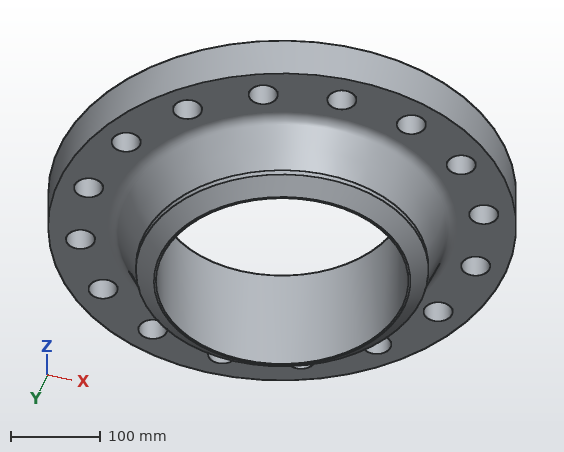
import cadquery as cq
import math

flange_diameter = 520.5
total_height = 130.0
face_diameter = 381.0
face_height = 2.0
flange_bottom = 79.5
bore_diameter = 280.5

bolt_count = 16
bolt_circle_diameter = 450.5
bolt_hole_diameter = 32.5

hub_top_diameter = 372.5
root_fillet = 12.0
weld_end_diameter = 325.5
weld_end_top = 22.0
bevel_height = 15.5
weld_tip_diameter = 285.5

flange_radius = flange_diameter / 2
face_radius = face_diameter / 2
bore_radius = bore_diameter / 2
hub_top_radius = hub_top_diameter / 2
weld_end_radius = weld_end_diameter / 2
weld_tip_radius = weld_tip_diameter / 2
flange_top = total_height - face_height

hub_angle = math.atan2(flange_bottom - weld_end_top, hub_top_radius - weld_end_radius)
tangent_length = root_fillet * math.tan(hub_angle / 2)


def revolved_body():
    """Flange, raised face, hub and bevelled weld end around the bore."""
    fillet_start = (
        hub_top_radius - tangent_length * math.cos(hub_angle),
        flange_bottom - tangent_length * math.sin(hub_angle),
    )
    fillet_centre = (hub_top_radius + tangent_length, flange_bottom - root_fillet)
    fillet_middle = (
        fillet_centre[0] - root_fillet * math.sin(hub_angle / 2),
        fillet_centre[1] + root_fillet * math.cos(hub_angle / 2),
    )
    fillet_end = (fillet_centre[0], flange_bottom)
    profile = (
        cq.Workplane("XZ")
        .moveTo(bore_radius, 0)
        .lineTo(weld_tip_radius, 0)
        .lineTo(weld_end_radius, bevel_height)
        .lineTo(weld_end_radius, weld_end_top)
        .lineTo(*fillet_start)
        .threePointArc(fillet_middle, fillet_end)
        .lineTo(flange_radius, flange_bottom)
        .lineTo(flange_radius, flange_top)
        .lineTo(face_radius, flange_top)
        .lineTo(face_radius, total_height)
        .lineTo(bore_radius, total_height)
        .close()
    )
    return profile.revolve(360, (0, 0, 0), (0, 1, 0))


def bolt_holes():
    """Ring of through holes, the first one on +X."""
    return (
        cq.Workplane("XY")
        .polarArray(bolt_circle_diameter / 2, 0, 360, bolt_count)
        .circle(bolt_hole_diameter / 2)
        .extrude(total_height)
    )


result = revolved_body().cut(bolt_holes())